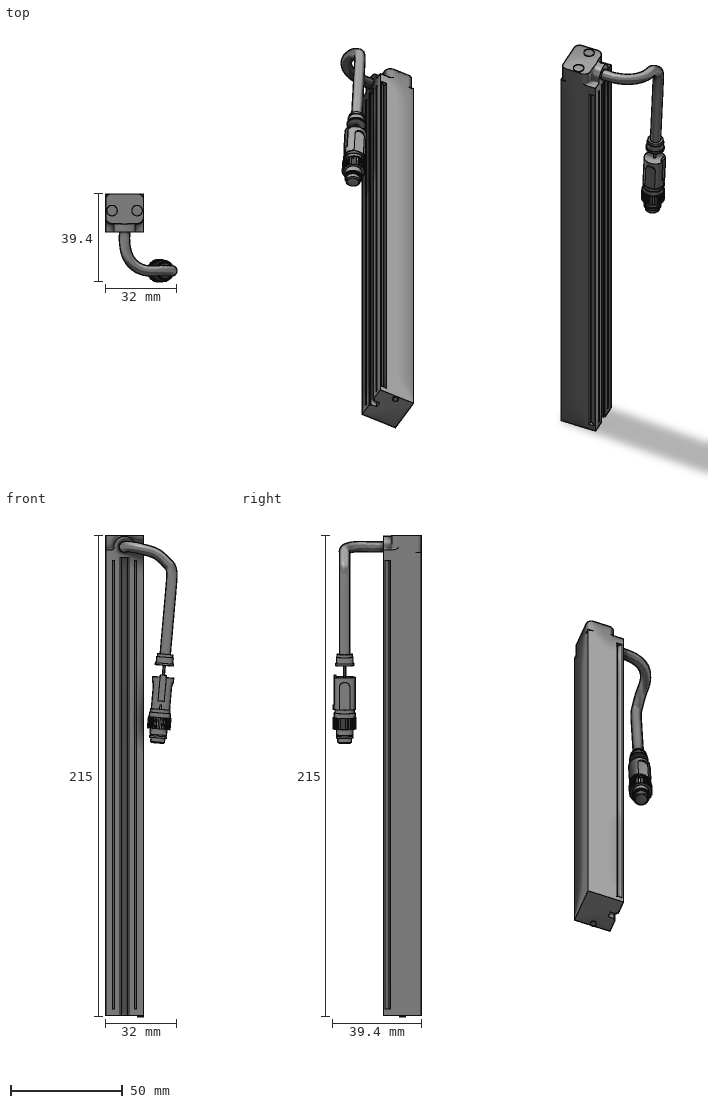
import cadquery as cq
import math

bar_width = 17.0
bar_half = bar_width / 2
bar_height = 214.5
bar_back_y = bar_half
bar_front_y = -bar_half

back_corner_radius = 2.5
back_corner_depth = 7.6

ledge_depth = 6.4
ledge_wall_y = -4.7
ledge_corner_radius = 3.0
ledge_fillet = 0.9
boss_diameter = 9.5
cable_exit_z = bar_height - 5.1
cable_seat_diameter = 5.0
cable_seat_depth = 0.5

recess_diameter = 4.7
recess_depth = 0.3
recess_x = 5.6
recess_y = 1.1

groove_top_z = bar_height - 11.2
groove_bottom_z = 3.0
groove_width = 0.9
groove_depth = 1.2
groove_x = 4.86
side_groove_width = 3.2
side_groove_depth = 1.6
side_groove_floor = 0.8
side_groove_lip = 0.7
channel_top_z = bar_height - 9.9
channel_width = 2.6
channel_depth = 3.5
mouth_width = 3.9
mouth_depth = 0.6

foot_diameter = 2.6
foot_height = 0.48
foot_x = 7.1

cable_diameter = 4.7
cable_drop_x = 20.8
cable_drop_y = -25.8
cable_drop_z = bar_height - 23.0
cable_start_y = bar_front_y + cable_seat_depth
plug_tilt = math.radians(5)

margin = 1.0


def box(x_range, y_range, z_range):
    """Box between pairs of X, Y and Z limits."""
    (x0, x1), (y0, y1), (z0, z1) = x_range, y_range, z_range
    return cq.Workplane("XY").box(x1 - x0, y1 - y0, z1 - z0, centered=False).translate((x0, y0, z0))


def cable_exit_cylinder(diameter, y_start, y_end):
    """Cylinder along -Y on the cable exit axis."""
    plane = cq.Plane(origin=(0, y_start, cable_exit_z), xDir=(1, 0, 0), normal=(0, -1, 0))
    return cq.Workplane(plane).circle(diameter / 2).extrude(y_start - y_end)


def ledge_pocket():
    """Space cut away in front of the top end, around the boss, with rounded inner edges."""
    outer = bar_half + margin
    floor_z = bar_height - ledge_depth
    z_range = (floor_z, bar_height + margin)
    front_y = bar_front_y - margin
    corner_y = ledge_wall_y + ledge_corner_radius
    strip = box((-outer, outer), (front_y, corner_y), z_range)
    block = box((-bar_half, bar_half), (ledge_wall_y, bar_half), z_range)
    block = block.edges("|Z and <Y").fillet(ledge_corner_radius)
    boss = cable_exit_cylinder(boss_diameter, bar_half, front_y - margin)
    boss_foot = box(
        (-boss_diameter / 2, boss_diameter / 2),
        (front_y - margin, bar_half),
        (floor_z - margin, cable_exit_z),
    )
    pocket = strip.cut(block).cut(boss.union(boss_foot))
    inside = 0.3
    inner_edges = cq.selectors.BoxSelector(
        (-bar_half + inside, front_y - margin, floor_z - inside),
        (bar_half - inside, corner_y - inside, bar_height),
    )
    return pocket.edges(inner_edges).fillet(ledge_fillet)


def back_corner_cutter():
    """Material outside the rounded back corners of the top end."""
    size = bar_width + 2 * margin
    z_range = (bar_height - back_corner_depth, bar_height + margin)
    around = box((-size / 2, size / 2), (0, size / 2), z_range)
    core = box((-bar_half, bar_half), (-bar_half, bar_half), z_range)
    return around.cut(core.edges("|Z and >Y").fillet(back_corner_radius))


def front_groove(x, width, depth, z_range):
    """Straight groove sunk into the front face."""
    return box((x - width / 2, x + width / 2), (bar_front_y - margin, bar_front_y + depth), z_range)


def side_groove(side):
    """Groove with a square back wall, a narrow floor and a slope out to the front lip."""
    wall_y = bar_front_y + side_groove_width
    outer_x = side * bar_half
    floor_x = side * (bar_half - side_groove_depth)
    return (
        cq.Workplane("XY")
        .workplane(offset=groove_bottom_z)
        .polyline(
            [
                (outer_x, bar_front_y + side_groove_lip),
                (outer_x, wall_y),
                (floor_x, wall_y),
                (floor_x, wall_y - side_groove_floor),
            ]
        )
        .close()
        .extrude(groove_top_z - groove_bottom_z)
    )


def make_light_bar():
    """Bar with its end shape, grooves, screw recesses, cable seat and foot."""
    bar = box((-bar_half, bar_half), (bar_front_y, bar_back_y), (0, bar_height))
    bar = bar.cut(ledge_pocket()).cut(back_corner_cutter())
    groove_z = (groove_bottom_z, groove_top_z)
    for side in (-1, 1):
        bar = bar.cut(front_groove(side * groove_x, groove_width, groove_depth, groove_z))
        bar = bar.cut(side_groove(side))
    channel_z = (-margin, channel_top_z)
    bar = bar.cut(front_groove(0, channel_width, channel_depth, channel_z))
    bar = bar.cut(front_groove(0, mouth_width, mouth_depth, channel_z))
    recesses = (
        cq.Workplane("XY")
        .workplane(offset=bar_height - recess_depth)
        .pushPoints([(-recess_x, recess_y), (recess_x, recess_y)])
        .circle(recess_diameter / 2)
        .extrude(recess_depth + margin)
    )
    foot = cq.Workplane("XY").center(foot_x, 0).circle(foot_diameter / 2).extrude(-foot_height)
    cable_seat = cable_exit_cylinder(cable_seat_diameter, cable_start_y, bar_front_y - margin)
    return bar.cut(recesses).cut(cable_seat).union(foot)


plug_axis = (-math.sin(plug_tilt), 0, -math.cos(plug_tilt))
plug_plane = cq.Plane(
    origin=(cable_drop_x, cable_drop_y, cable_drop_z),
    xDir=(-math.cos(plug_tilt), 0, math.sin(plug_tilt)),
    normal=plug_axis,
)

collar_start = 30.2
collar_step = 31.5
collar_flare = 34.3
collar_end = 35.2
shell_start = 40.5
shell_end = 54.9
neck_end = 56.5
nut_start = 58.6
nut_end = 63.6
nose_end = 66.3
nose_groove_end = 66.9
nose_ring_end = 67.7
tip_end = 70.0

shell_diameter = 9.5
nut_diameter = 10.22
core_diameter = 1.0
collar_neck_diameter = 6.9
collar_diameter = 7.5
collar_rim_diameter = 8.2
neck_diameter = 8.8
nose_diameter = 7.5
nose_groove_diameter = 6.9
tip_diameter = 6.25

plug_sections = [
    (0, collar_start, cable_diameter),
    (collar_start, collar_step, collar_neck_diameter),
    (collar_step, collar_flare, collar_diameter),
    (collar_flare, collar_end, collar_rim_diameter),
    (collar_end, shell_start, core_diameter),
    (shell_start, shell_end, shell_diameter),
    (shell_end, neck_end, neck_diameter),
    (neck_end, nut_start, shell_diameter),
    (nut_start, nut_end, nut_diameter),
    (nut_end, nose_end, nose_diameter),
    (nose_end, nose_groove_end, nose_groove_diameter),
    (nose_groove_end, nose_ring_end, nose_diameter),
    (nose_ring_end, tip_end, tip_diameter),
]
tip_chamfer = 0.5

flat_start = 44.8
flat_width = 4.7
rib_width = 2.8
rib_rise = 1.0
rib_top = shell_start - rib_rise
rib_end = 51.2
rib_thickness = 1.0
nub_width = 0.8
nub_length = 2.0
nub_height = 0.36
knurl_count = 20
knurl_width = 0.7
knurl_depth = 0.35


def plug_box(x_range, y_range, station_range):
    """Box in the plug frame, between two stations."""
    (x0, x1), (y0, y1), (s0, s1) = x_range, y_range, station_range
    centre = ((x0 + x1) / 2, (y0 + y1) / 2)
    base = cq.Workplane(plug_plane).workplane(offset=s0).center(*centre)
    return base.rect(x1 - x0, y1 - y0).extrude(s1 - s0)


def flat_cutter(x_range):
    """Cutter for a flat on the shell, with a half-round upper end."""
    x_start, x_end = x_range
    straight = plug_box(x_range, (-flat_width / 2, flat_width / 2), (flat_start, shell_end))
    round_plane = cq.Plane(
        origin=plug_plane.toWorldCoords((x_start, 0, flat_start)),
        xDir=plug_plane.yDir,
        normal=plug_plane.xDir,
    )
    return straight.union(cq.Workplane(round_plane).circle(flat_width / 2).extrude(x_end - x_start))


def bent_cable():
    """Cable from the boss face, bending sideways and then down to the plug."""
    exit_z = cable_exit_z
    points = [
        (0, cable_start_y, exit_z),
        (0, -13.0, exit_z),
        (3.2, -22.2, exit_z - 0.1),
        (9.0, cable_drop_y + 0.2, exit_z - 1.3),
        (15.0, cable_drop_y, exit_z - 3.6),
        (19.2, cable_drop_y, exit_z - 7.5),
        (cable_drop_x, cable_drop_y, cable_drop_z),
    ]
    path = cq.Edge.makeSpline(
        [cq.Vector(*point) for point in points],
        tangents=[cq.Vector(0, -1, 0), cq.Vector(*plug_axis)],
    )
    plane = cq.Plane(origin=points[0], xDir=(1, 0, 0), normal=(0, -1, 0))
    wire = cq.Wire.assembleEdges([path])
    return cq.Workplane(plane).circle(cable_diameter / 2).sweep(cq.Workplane(wire))


def make_cable_and_plug():
    """Cable, collar, plug shell, knurled nut and nose as one solid."""
    plug = None
    for start, end, diameter in plug_sections:
        section = cq.Workplane(plug_plane).workplane(offset=start).circle(diameter / 2).extrude(end - start)
        if end == tip_end:
            section = section.faces("<Z").edges().chamfer(tip_chamfer)
        plug = section if plug is None else plug.union(section)

    shell_radius = shell_diameter / 2
    flat_x = math.sqrt(shell_radius**2 - (flat_width / 2) ** 2)
    for side in (-1, 1):
        x_range = sorted((side * flat_x, side * (shell_radius + margin)))
        plug = plug.cut(flat_cutter(x_range))

    rib_y = -shell_radius
    plug = plug.union(
        plug_box((-rib_width / 2, rib_width / 2), (rib_y, rib_y + rib_thickness), (rib_top, rib_end))
    )

    nub_y = (rib_y - nub_height, rib_y + rib_thickness)
    plug = plug.union(
        plug_box((-nub_width / 2, nub_width / 2), nub_y, (shell_end - nub_length, shell_end))
    )

    groove_y = (nut_diameter / 2 - knurl_depth, nut_diameter / 2 + margin)
    groove = plug_box((-knurl_width / 2, knurl_width / 2), groove_y, (nut_start, nut_end))
    origin = plug_plane.origin
    tip = origin + plug_plane.zDir
    for index in range(knurl_count):
        turn = 360 / knurl_count * index
        plug = plug.cut(groove.rotate(origin.toTuple(), tip.toTuple(), turn))
    return bent_cable().union(plug)


light_bar = make_light_bar()
cable_and_plug = make_cable_and_plug()

result = cq.Compound.makeCompound([light_bar.val(), cable_and_plug.val()])